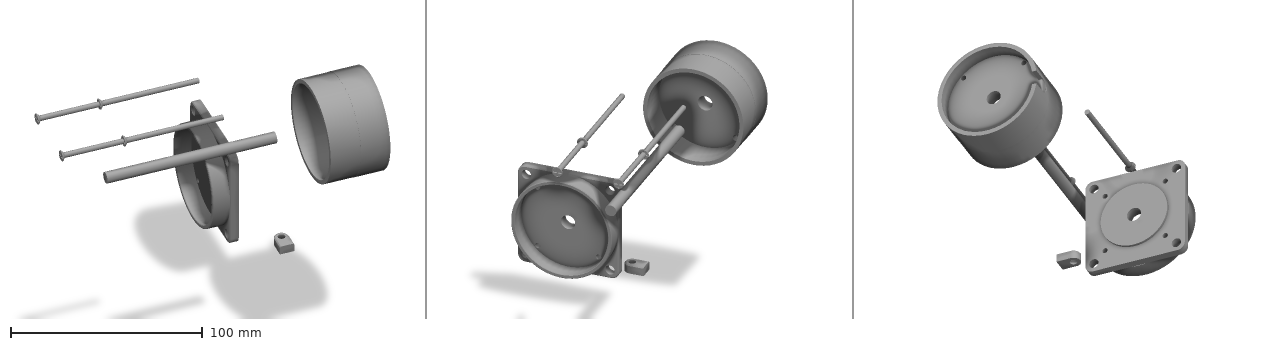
import cadquery as cq


screw_pitch = 34.4
screw_hole_diameter = 3.0
shaft_hole_diameter = 8.0

sleeve_diameter = 56.8
sleeve_length = 16.4
sleeve_rim_bore = 52.0
sleeve_seat_depth = 8.4
sleeve_overhang = 0.4
slot_width = 8.0

housing_diameter = 56.5
housing_bore = 52.0
housing_front_y = -33.4
housing_floor_thickness = 8.4
neck_diameter = 56.0
hole_edge_chamfer = 0.25

flange_offset = 56.62
plate_size = 56.8
plate_thickness = 4.9
plate_corner_radius = 4.2
plate_back_y = -62.7
plate_edge_chamfer = 0.5
mount_hole_pitch = 47.14
mount_hole_diameter = 5.3
pilot_diameter = 38.05
pilot_height = 1.5
ring_diameter = 56.8
ring_bore = 52.4
ring_length = 9.5
ring_outer_chamfer = 0.4
ring_bore_chamfer = 0.3

shaft_diameter = 6.3
shaft_x = 0.1
shaft_length = 95.3
shaft_back_y = -53.5
shaft_z = 2.0

link_width = 8.0
link_straight_length = 8.0
link_height = 5.0
link_hole_diameter = 4.0
link_edge_chamfer = 0.6
link_eye_x = -33.0
link_eye_y = -36.8
link_bottom_z = -95.58

screw_diameter = 3.0
screw_head_diameter = 6.0
screw_head_height = 1.8
screw_head_rim = 0.5
screw_head_edge_chamfer = 0.25
rear_screw_length = 56.0
front_screw_length = 35.0
screw_tip_y = -89.63
screw_z = 37.1
recess_width = 1.0
recess_span = 5.0
recess_depth = 1.0


def rod(diameter, back_y, length, x=0.0, z=0.0):
    """Round bar about a Y axis that runs forward (-Y) from back_y."""
    return cq.Workplane("XZ", origin=(x, back_y, z)).circle(diameter / 2).extrude(length)


def square_of_rods(pitch, diameter, back_y, length, x=0.0, z=0.0):
    """Four round bars on the corners of a square, for drilling a hole pattern."""
    return (
        cq.Workplane("XZ", origin=(x, back_y, z))
        .rect(pitch, pitch, forConstruction=True)
        .vertices()
        .circle(diameter / 2)
        .extrude(length)
    )


def hole_flare(diameter, front_y, x=0.0, z=0.0):
    """Cone that widens towards -Y and chamfers the front edge of a hole ending at front_y."""
    return (
        cq.Workplane("XZ", origin=(x, front_y + hole_edge_chamfer, z))
        .circle(diameter / 2)
        .workplane(offset=hole_edge_chamfer)
        .circle(diameter / 2 + hole_edge_chamfer)
        .loft()
    )


def make_sleeve():
    """Ring with a narrow rear rim, a wider seat for the housing neck and a round-ended slot at -X."""
    body = rod(sleeve_diameter, 0, sleeve_length)
    body = body.cut(rod(sleeve_rim_bore, 0, sleeve_length))
    body = body.cut(rod(neck_diameter, -sleeve_seat_depth, sleeve_length))
    body = body.cut(rod(housing_diameter, sleeve_overhang - sleeve_length, sleeve_overhang))
    slot_reach = sleeve_diameter / 2
    slot = (
        cq.Workplane("YZ")
        .rect(2 * sleeve_seat_depth, slot_width)
        .extrude(-slot_reach)
        .union(cq.Workplane("YZ").center(-sleeve_seat_depth, 0).circle(slot_width / 2).extrude(-slot_reach))
    )
    return body.cut(slot)


def make_housing():
    """Cup open to the front, with a neck behind it that fills the sleeve's seat."""
    neck_back_y = -sleeve_seat_depth
    floor_front_y = neck_back_y - housing_floor_thickness
    shoulder_y = sleeve_overhang - sleeve_length
    body = rod(housing_diameter, shoulder_y, shoulder_y - housing_front_y)
    body = body.union(rod(neck_diameter, neck_back_y, neck_back_y - shoulder_y))
    body = body.cut(rod(housing_bore, floor_front_y, floor_front_y - housing_front_y))
    body = body.cut(rod(shaft_hole_diameter, 0, -housing_front_y))
    body = body.cut(square_of_rods(screw_pitch, screw_hole_diameter, 0, -housing_front_y))
    body = body.cut(hole_flare(shaft_hole_diameter, floor_front_y))
    half_pitch = screw_pitch / 2
    for x in (-half_pitch, half_pitch):
        for z in (-half_pitch, half_pitch):
            body = body.cut(hole_flare(screw_hole_diameter, floor_front_y, x, z))
    return body


def make_flange():
    """Square mounting plate with a pilot boss behind and a round socket in front."""
    x, z = -flange_offset, -flange_offset
    plate_front_y = plate_back_y - plate_thickness
    total_length = pilot_height + plate_thickness + ring_length
    pilot_back_y = plate_back_y + pilot_height
    body = (
        cq.Workplane("XZ", origin=(x, plate_back_y, z))
        .rect(plate_size, plate_size)
        .extrude(plate_thickness)
        .edges("|Y")
        .fillet(plate_corner_radius)
        .faces("<Y")
        .chamfer(plate_edge_chamfer)
    )
    body = body.union(rod(pilot_diameter, pilot_back_y, pilot_height, x, z))
    ring = rod(ring_diameter, plate_front_y, ring_length, x, z).faces("<Y").chamfer(ring_outer_chamfer)
    body = body.union(ring)
    body = body.cut(rod(ring_bore, plate_front_y, ring_length, x, z))
    bore_edge = cq.selectors.RadiusNthSelector(0)
    body = body.faces("<Y").edges("%CIRCLE").edges(bore_edge).chamfer(ring_bore_chamfer)
    body = body.cut(rod(shaft_hole_diameter, pilot_back_y, total_length, x, z))
    body = body.cut(square_of_rods(screw_pitch, screw_hole_diameter, pilot_back_y, total_length, x, z))
    body = body.cut(square_of_rods(mount_hole_pitch, mount_hole_diameter, pilot_back_y, total_length, x, z))
    return body


def make_link():
    """Flat bar with a rounded, drilled end towards -X and a chamfered top edge."""
    half_width = link_width / 2
    return (
        cq.Workplane("XY", origin=(link_eye_x, link_eye_y, link_bottom_z))
        .moveTo(link_straight_length, half_width)
        .lineTo(0, half_width)
        .threePointArc((-half_width, 0), (0, -half_width))
        .lineTo(link_straight_length, -half_width)
        .close()
        .extrude(link_height)
        .faces(">Z")
        .edges("not >X")
        .chamfer(link_edge_chamfer)
        .cut(
            cq.Workplane("XY", origin=(link_eye_x, link_eye_y, link_bottom_z))
            .circle(link_hole_diameter / 2)
            .extrude(link_height)
        )
    )


def make_screw(x, tip_y, length):
    """Countersunk cross-recess screw pointing to +Y; length includes the head."""
    head_y = tip_y - length
    screw = (
        cq.Workplane("XY", origin=(x, 0, screw_z))
        .moveTo(0, tip_y)
        .lineTo(screw_diameter / 2, tip_y)
        .lineTo(screw_diameter / 2, head_y + screw_head_height)
        .lineTo(screw_head_diameter / 2, head_y + screw_head_rim)
        .lineTo(screw_head_diameter / 2, head_y + screw_head_edge_chamfer)
        .lineTo(screw_head_diameter / 2 - screw_head_edge_chamfer, head_y)
        .lineTo(0, head_y)
        .close()
        .revolve(360, (0, 0, 0), (0, 1, 0))
    )
    for width, height in ((recess_span, recess_width), (recess_width, recess_span)):
        bar = cq.Workplane("XZ", origin=(x, head_y, screw_z)).rect(width, height).extrude(-recess_depth)
        screw = screw.cut(bar)
    return screw


sleeve = make_sleeve()
housing = make_housing()
flange = make_flange()
shaft = rod(shaft_diameter, shaft_back_y, shaft_length, shaft_x, shaft_z)
link = make_link()

screws = []
for screw_x in (-screw_pitch / 2, screw_pitch / 2):
    rear_head_y = screw_tip_y - rear_screw_length
    screws.append(make_screw(screw_x, screw_tip_y, rear_screw_length).val())
    screws.append(make_screw(screw_x, rear_head_y, front_screw_length).val())

result = cq.Compound.makeCompound(
    [sleeve.val(), housing.val(), flange.val(), shaft.val(), link.val(), *screws]
)